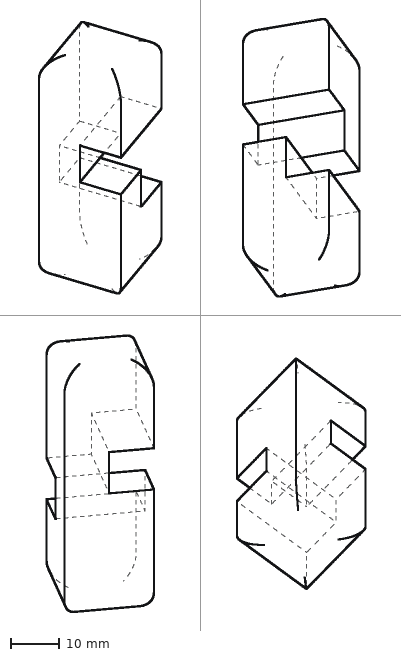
import cadquery as cq

width = 19.05
height = 3 * width
end_radius = width / 4

notch_depth = width / 2
notch_height = width / 2


def make_bar():
    """Upright square bar with all edges of its two end faces rounded."""
    bar = cq.Workplane("XY").box(width, width, height)
    return bar.faces("<Z or >Z").edges().fillet(end_radius)


def upper_notch():
    """Cutter open on the +X side, running through along Y, above mid-height."""
    return cq.Workplane("XY").box(
        notch_depth, width, notch_height, centered=(False, True, False)
    )


def lower_notch():
    """Cutter open on the +Y side, running through along X, below mid-height."""
    cutter = cq.Workplane("XY").box(
        width, notch_depth, notch_height, centered=(True, False, False)
    )
    return cutter.translate((0, 0, -notch_height))


result = make_bar().cut(upper_notch()).cut(lower_notch())